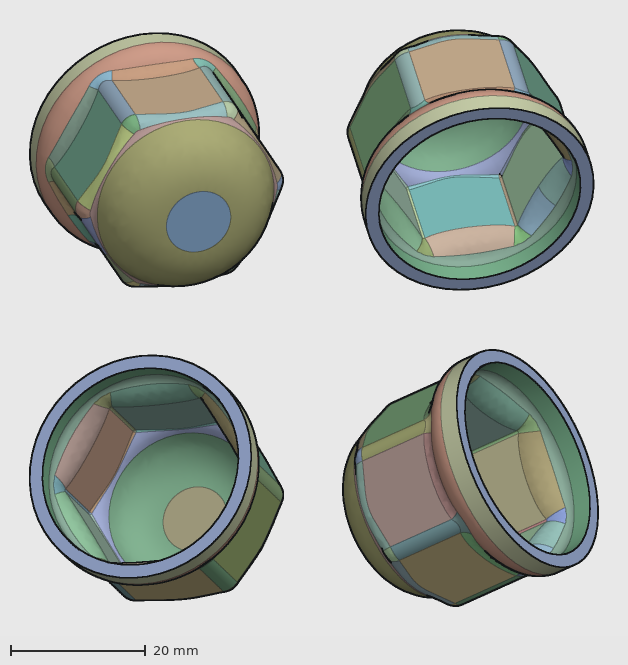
import cadquery as cq
import math

length = 28.3
rim_radius = 17.3
wall = 2.0

rim_length = 3.0
shoulder_radius = 4.0
shoulder_angle = math.radians(60)

hex_sides = 6
hex_across_flats = 28.6
hex_fillet = 2.5

dome_flat_radius = 5.0
dome_arc_radius = 9.2
flare_radius = 1.52
flare_angle = math.radians(18)

shoulder_centre = (rim_length, rim_radius - shoulder_radius)
dome_centre = (length - dome_arc_radius, dome_flat_radius)
flare_centre = (
    dome_centre[0] + (dome_arc_radius + flare_radius) * math.sin(flare_angle),
    dome_centre[1] + (dome_arc_radius + flare_radius) * math.cos(flare_angle),
)

half_side_angle = math.pi / hex_sides
seam_angle = 210
beyond_hex = 2 * rim_radius


def arc_point(centre, radius, angle):
    """Point on a profile arc; the angle runs from radially outward towards +X."""
    return (centre[0] + radius * math.sin(angle), centre[1] + radius * math.cos(angle))


def revolve(profile):
    """Turn a profile drawn in XY around the X axis, with its seam on the middle of a flat."""
    axis = ((0, 0, 0), (1, 0, 0))
    return profile.close().revolve(360, *axis).rotate(*axis, seam_angle)


def rim(inset):
    """Round rim with its shoulder, all surfaces moved inwards by the inset."""
    radius = shoulder_radius - inset
    middle = arc_point(shoulder_centre, radius, shoulder_angle / 2)
    end = arc_point(shoulder_centre, radius, shoulder_angle)
    cone_tip = end[0] + end[1] / math.tan(shoulder_angle)
    profile = (
        cq.Workplane("XY")
        .lineTo(0, rim_radius - inset)
        .lineTo(rim_length, rim_radius - inset)
        .threePointArc(middle, end)
        .lineTo(cone_tip, 0)
    )
    return revolve(profile)


def dome_envelope(inset):
    """Round dome whose base flares out over the end of the hexagon."""
    dome_radius = dome_arc_radius - inset
    dome_base = arc_point(dome_centre, dome_radius, flare_angle)
    dome_middle = arc_point(dome_centre, dome_radius, (flare_angle + math.pi / 2) / 2)
    dome_tip = arc_point(dome_centre, dome_radius, math.pi / 2)

    radius = flare_radius + inset
    facing_mouth = 1.5 * math.pi
    facing_dome = flare_angle + math.pi
    flare_start = arc_point(flare_centre, radius, facing_mouth)
    flare_middle = arc_point(flare_centre, radius, (facing_mouth + facing_dome) / 2)

    profile = (
        cq.Workplane("XY")
        .lineTo(0, beyond_hex)
        .lineTo(flare_start[0], beyond_hex)
        .lineTo(*flare_start)
        .threePointArc(flare_middle, dome_base)
        .threePointArc(dome_middle, dome_tip)
        .lineTo(dome_tip[0], 0)
    )
    return revolve(profile)


def hexagon(inset):
    """Hexagonal prism with rounded corners, two of its flats facing +Z and -Z."""
    across_corners = (hex_across_flats - 2 * inset) / math.cos(half_side_angle)
    prism = cq.Workplane("YZ").polygon(hex_sides, across_corners).extrude(length)
    return prism.edges("|X").fillet(hex_fillet - inset)


def round_flat_ends(body, from_x, to_x, radius):
    """Fillet the ends of the hexagon's flats within an X range.

    The ends run smoothly into each other around the corners, so the fillet
    started on the topmost flat carries on around the whole hexagon.
    """
    span = cq.selectors.BoxSelector(
        (from_x, -beyond_hex, -beyond_hex),
        (to_x, beyond_hex, beyond_hex),
    )
    return body.faces("#X").edges("not |X").edges(span).edges(">Z").fillet(radius)


def domed_hexagon(inset):
    """Hexagon ending in the dome, with the edges between them rounded."""
    body = hexagon(inset).intersect(dome_envelope(inset))
    return round_flat_ends(body, length / 2, length, hex_fillet - inset)


def solid_cap(inset):
    """Whole cap without its hollow; the inset tightens convex radii and widens hollow ones."""
    body = rim(inset).union(domed_hexagon(inset))
    return round_flat_ends(body, rim_length, length / 2, hex_fillet + inset)


result = solid_cap(0).cut(solid_cap(wall))